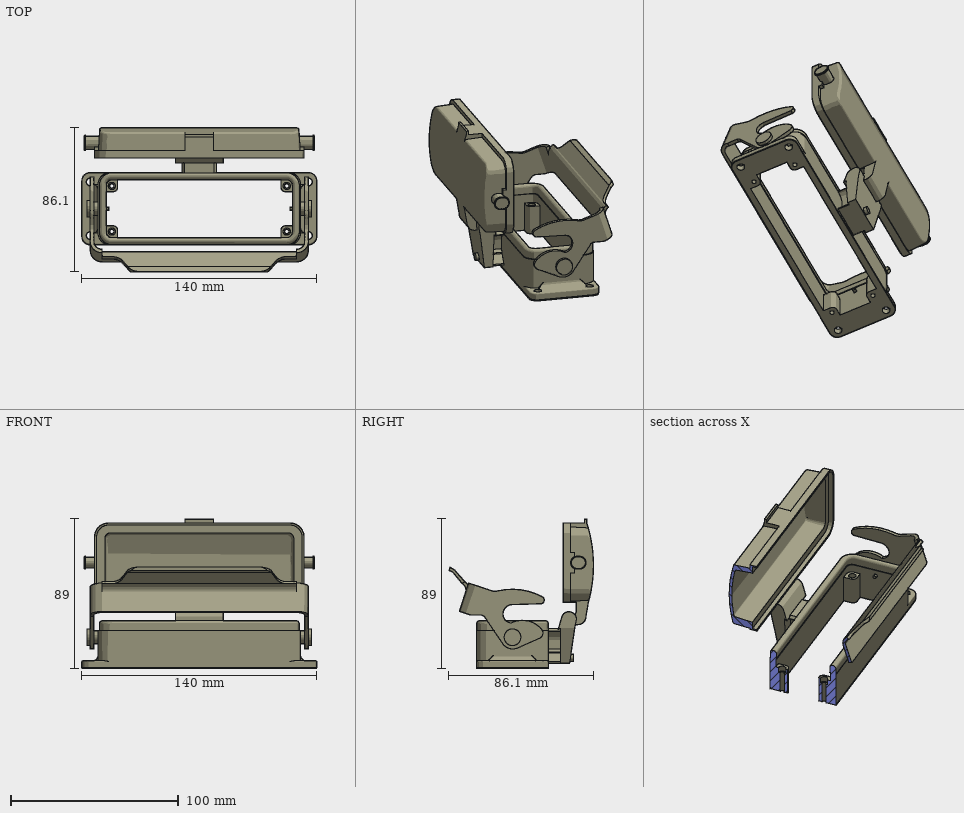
import cadquery as cq
import math


FLANGE_LENGTH = 140.0
HOUSING_WIDTH = 43.1
FLANGE_HEIGHT = 4.8
FLANGE_CORNER = 5.0
FLANGE_EDGE_ROUND = 0.8
FLANGE_SOLE_HEIGHT = 0.7
FLANGE_SOLE_INSET = 0.1
WALL_LENGTH = 120.7
WALL_CORNER = 7.3
RIM_BASE_Z = 22.8
RIM_TOP_Z = 28.7
RIM_LENGTH = 119.1
RIM_WIDTH = 42.8
RIM_CORNER = 7.7
RIM_THICKNESS = 4.2
RIM_UNDERCUT = 0.4
FLANGE_HOLE_DIAMETER = 4.5
FLANGE_HOLE_X = 65.0
FLANGE_HOLE_Y = 16.0
BOSS_HOLE_X = 52.1
BOSS_HOLE_Y = 13.6
BOSS_MARGIN = 3.5
BOSS_CORNER = 2.8
BOSS_TOP_Z = 17.2
BOSS_HOLE_DIAMETER = 2.5
BOSS_BORE_DIAMETER = 4.3
BOSS_BORE_DEPTH = 3.5
GUSSET_SIZE = 3.2
GUSSET_HALF_WIDTH = 11.3

BRACKET_HALF_LENGTH = 14.3
BRACKET_FOOT_HALF_LENGTH = 12.0
BRACKET_BASE_Z = 3.2
BRACKET_FRONT_Y = 28.7
BRACKET_FOOT_BACK_Y = 34.0
CAP_BASE_Z = 24.1
CAP_BASE_BACK_Y = 37.1
CAP_FRONT_Y = 27.2
CAP_FRONT_Z = 23.4
CAP_RADIUS = 4.5
CAP_CENTER_Y = 33.6
CAP_CENTER_Z = 29.5
CAP_LEAN = 17.7
LUG_HALF_LENGTH = 10.4
LUG_TOP_HALF_LENGTH = 8.8
LUG_WAIST_HALF_LENGTH = 5.0
LUG_STEP_HALF_LENGTH = 6.7
LUG_CHAMFER_Z = 22.5
LUG_ARC_TOP_Z = 22.1
LUG_STEP_TOP_Z = 11.8
LUG_STEP_BASE_Z = 9.2
LUG_SLOPE_BASE_Z = 4.2
SCREW_DIAMETER = 4.5
SCREW_Z = 6.5
SCREW_END_Y = 36.4

COVER_LENGTH = 124.9
COVER_HEIGHT = 47.3
COVER_CENTER_Z = 63.1
COVER_FRONT_Y = 30.1
COVER_FRAME_Y = 34.6
COVER_RECESS_Y = 32.9
COVER_CORNER = 8.4
COVER_LIP = 1.3
SHELL_LENGTH = 120.1
SHELL_HEIGHT = 44.2
SHELL_CENTER_Z = 62.3
SHELL_CORNER = 7.0
SHELL_DRAFT = 3.0
SHELL_EDGE_ROUND = 1.4
BACK_MIDDLE_Y = 48.2
BACK_MIDDLE_Z = 65.8
BACK_TOP_Y = 44.2
BACK_BOTTOM_Y = 45.2
BACK_THICKNESS = 2.1
CAVITY_LENGTH = 112.5
CAVITY_HEIGHT = 35.5
CAVITY_CORNER = 3.5
CAVITY_DRAFT = 4.5
CAVITY_FLOOR_ROUND = 1.1
BAND_HALF_WIDTH = 8.5
TAB_TOP_Z = 89.0
TAB_FRONT_Y = 42.8
ARM_FRONT_Y = 38.0
ARM_BEND_Y = 43.8
ARM_BEND_Z = 31.2
ARM_BOTTOM_Z = 26.2
PEG_CENTER_Y = 39.2
PEG_WIDTH = 8.1
PEG_HEIGHT = 6.6
PEG_COLLAR = 0.5
PEG_COLLAR_LENGTH = 0.8
PEG_COLLAR_CHAMFER = 0.4
PEG_END_X = 68.6
PEG_PAD_HALF_HEIGHT = 6.2
PEG_PAD_BACK_Y = 36.8

PIVOT_Z = 18.8
LEVER_HALF_LENGTH = 65.0
LEVER_THICKNESS = 2.2
PIVOT_EYE_RADIUS = 7.0
BAIL_TILT = 18.0
BAIL_HEIGHT = 17.8
BAIL_DEPTH = 7.1
BAIL_BEND_HEIGHT = 12.5
BAIL_FOOT_Y = -24.9
BAIL_FOOT_Z = 31.9
HANDLE_ROOT_X = LEVER_HALF_LENGTH - BAIL_DEPTH
HANDLE_BASE_X = 48.0
HANDLE_BASE_Y = -28.4
HANDLE_BASE_Z = 51.8
HANDLE_SLOPE = 51.5
HANDLE_REACH = 12.3
HANDLE_TIP_X = 40.7
HANDLE_CORNER = 7.7
PIN_HEAD_DIAMETER = 10.0
PIN_HEAD_LENGTH = 2.0
PIN_DIAMETER = 8.0
PIN_TIP_DIAMETER = 2.0
PIN_TIP_X = 53.9

COVER_TOP_Z = COVER_CENTER_Z + COVER_HEIGHT / 2
COVER_BOTTOM_Z = COVER_CENTER_Z - COVER_HEIGHT / 2
COVER_BACK_LIMIT_Y = BACK_MIDDLE_Y + BACK_THICKNESS
RIM_INNER_LENGTH = RIM_LENGTH - 2 * RIM_THICKNESS
RIM_INNER_WIDTH = RIM_WIDTH - 2 * RIM_THICKNESS
RIM_INNER_CORNER = RIM_CORNER - RIM_THICKNESS


def upright_block(length, width, bottom, top, corner):
    """A block centred on the Z axis with rounded vertical edges."""
    block = cq.Workplane("XY").workplane(offset=bottom).rect(length, width).extrude(top - bottom)
    return block.edges("|Z").fillet(corner)


def cover_block(length, height, front, back, corner, draft=0, center_z=COVER_CENTER_Z):
    """A block on the cover's axis with rounded corners, narrowing from front to back."""
    plane = cq.Plane(origin=(0, front, center_z), xDir=(-1, 0, 0), normal=(0, 1, 0))
    outline = cq.Sketch().rect(length, height).vertices().fillet(corner)
    return cq.Workplane(plane).placeSketch(outline).extrude(back - front, taper=draft)


def both_ends(half):
    """The half at the +X end and its mirror image at the -X end."""
    return [half, half.mirror("YZ")]


def make_gusset():
    """Concave fillet between the flange and the end wall, with sloping ends."""
    wall_x = WALL_LENGTH / 2
    foot_half_width = GUSSET_HALF_WIDTH + GUSSET_SIZE
    top = FLANGE_HEIGHT + GUSSET_SIZE
    arc_offset = GUSSET_SIZE * (1 - math.sqrt(0.5))
    fillet = (
        cq.Workplane("XZ", origin=(0, foot_half_width, 0))
        .moveTo(wall_x, FLANGE_HEIGHT)
        .lineTo(wall_x + GUSSET_SIZE, FLANGE_HEIGHT)
        .threePointArc((wall_x + arc_offset, FLANGE_HEIGHT + arc_offset), (wall_x, top))
        .close()
        .extrude(2 * foot_half_width)
    )
    sloped_ends = (
        cq.Workplane("YZ", origin=(wall_x, 0, 0))
        .polyline([
            (-foot_half_width, FLANGE_HEIGHT),
            (foot_half_width, FLANGE_HEIGHT),
            (GUSSET_HALF_WIDTH, top),
            (-GUSSET_HALF_WIDTH, top),
        ])
        .close()
        .extrude(GUSSET_SIZE)
    )
    return fillet.intersect(sloped_ends)


def make_bosses():
    """Four screw bosses standing in the inner corners of the walls."""
    length = BOSS_HOLE_X - BOSS_MARGIN
    width = BOSS_HOLE_Y - BOSS_MARGIN
    outer_x = RIM_LENGTH / 2 - RIM_THICKNESS / 2
    outer_y = HOUSING_WIDTH / 2 - RIM_THICKNESS / 2
    boss = (
        cq.Workplane("XY")
        .moveTo(length, width)
        .rect(outer_x - length, outer_y - width, centered=False)
        .extrude(BOSS_TOP_Z)
        .edges("|Z and <X and <Y")
        .fillet(BOSS_CORNER)
    )
    holes_at = [(x, y) for x in (-BOSS_HOLE_X, BOSS_HOLE_X) for y in (-BOSS_HOLE_Y, BOSS_HOLE_Y)]
    pair = boss.union(boss.mirror("XZ"))
    bosses = pair.union(pair.mirror("YZ"))
    return (
        bosses.faces(">Z")
        .workplane(origin=(0, 0, BOSS_TOP_Z))
        .pushPoints(holes_at)
        .cboreHole(BOSS_HOLE_DIAMETER, BOSS_BORE_DIAMETER, BOSS_BORE_DEPTH)
    )


def bracket_profile():
    """Side outline of the bracket: a tapered leg under a round-topped cap."""
    cap_back_y = CAP_CENTER_Y + CAP_RADIUS
    lean = math.radians(CAP_LEAN)
    cap_nose = (CAP_CENTER_Y - CAP_RADIUS * math.cos(lean), CAP_CENTER_Z + CAP_RADIUS * math.sin(lean))
    return (
        cq.Workplane("YZ", origin=(-BRACKET_HALF_LENGTH, 0, 0))
        .moveTo(BRACKET_FRONT_Y, BRACKET_BASE_Z)
        .lineTo(BRACKET_FRONT_Y, CAP_BASE_Z)
        .lineTo(CAP_FRONT_Y, CAP_FRONT_Z)
        .lineTo(*cap_nose)
        .threePointArc((CAP_CENTER_Y, CAP_CENTER_Z + CAP_RADIUS), (cap_back_y, CAP_CENTER_Z))
        .lineTo(CAP_BASE_BACK_Y, CAP_BASE_Z)
        .lineTo(BRACKET_FOOT_BACK_Y, BRACKET_BASE_Z)
        .close()
        .extrude(2 * BRACKET_HALF_LENGTH)
    )


def make_bracket():
    """Hinge bracket with the lug that carries it and the head of its screw."""
    front_outline = (
        cq.Workplane("XZ", origin=(0, COVER_BACK_LIMIT_Y, 0))
        .polyline([
            (-BRACKET_FOOT_HALF_LENGTH, BRACKET_BASE_Z),
            (BRACKET_FOOT_HALF_LENGTH, BRACKET_BASE_Z),
            (BRACKET_HALF_LENGTH, CAP_BASE_Z),
            (BRACKET_HALF_LENGTH, COVER_BOTTOM_Z),
            (-BRACKET_HALF_LENGTH, COVER_BOTTOM_Z),
            (-BRACKET_HALF_LENGTH, CAP_BASE_Z),
        ])
        .close()
        .extrude(COVER_BACK_LIMIT_Y)
    )
    inner_y = HOUSING_WIDTH / 2 - RIM_THICKNESS / 2
    arc_radius = LUG_HALF_LENGTH - LUG_WAIST_HALF_LENGTH
    arc_offset = arc_radius * (1 - math.sqrt(0.5))
    step_run = LUG_STEP_HALF_LENGTH - LUG_WAIST_HALF_LENGTH
    lug_half = (
        cq.Workplane("XZ", origin=(0, BRACKET_FRONT_Y, 0))
        .moveTo(0, CAP_BASE_Z)
        .lineTo(LUG_TOP_HALF_LENGTH, CAP_BASE_Z)
        .lineTo(LUG_HALF_LENGTH, LUG_CHAMFER_Z)
        .lineTo(LUG_HALF_LENGTH, LUG_ARC_TOP_Z)
        .threePointArc(
            (LUG_WAIST_HALF_LENGTH + arc_offset, LUG_ARC_TOP_Z - arc_offset),
            (LUG_WAIST_HALF_LENGTH, LUG_ARC_TOP_Z - arc_radius),
        )
        .lineTo(LUG_WAIST_HALF_LENGTH, LUG_STEP_TOP_Z)
        .lineTo(LUG_STEP_HALF_LENGTH, LUG_STEP_TOP_Z - step_run)
        .lineTo(LUG_STEP_HALF_LENGTH, LUG_STEP_BASE_Z)
        .lineTo(LUG_HALF_LENGTH, LUG_SLOPE_BASE_Z)
        .lineTo(LUG_HALF_LENGTH, BRACKET_BASE_Z)
        .lineTo(0, BRACKET_BASE_Z)
        .close()
        .extrude(BRACKET_FRONT_Y - inner_y)
    )
    lug = lug_half.union(lug_half.mirror("YZ"))
    screw = (
        cq.Workplane("XZ", origin=(0, SCREW_END_Y, SCREW_Z))
        .circle(SCREW_DIAMETER / 2)
        .extrude(SCREW_END_Y - BRACKET_FRONT_Y)
    )
    return bracket_profile().intersect(front_outline).union(lug).union(screw)


def make_rim():
    """Ring around the housing's opening with a fully rounded top."""
    round_z = RIM_TOP_Z - RIM_THICKNESS / 2
    ring = upright_block(RIM_LENGTH, RIM_WIDTH, RIM_BASE_Z, round_z, RIM_CORNER)
    opening = upright_block(RIM_INNER_LENGTH, RIM_INNER_WIDTH, RIM_BASE_Z, round_z, RIM_INNER_CORNER)
    middle = upright_block(
        RIM_LENGTH - RIM_THICKNESS,
        RIM_WIDTH - RIM_THICKNESS,
        RIM_BASE_Z,
        round_z,
        RIM_CORNER - RIM_THICKNESS / 2,
    )
    path = middle.faces(">Z").wires()
    crown = (
        cq.Workplane("YZ", origin=(0, RIM_WIDTH / 2 - RIM_THICKNESS / 2, round_z))
        .circle(RIM_THICKNESS / 2)
        .sweep(path)
    )
    return ring.cut(opening).union(crown)


def make_housing():
    flange = upright_block(
        FLANGE_LENGTH, HOUSING_WIDTH, FLANGE_SOLE_HEIGHT, FLANGE_HEIGHT, FLANGE_CORNER
    )
    flange = flange.faces(">Z").edges().fillet(FLANGE_EDGE_ROUND)
    sole = upright_block(
        FLANGE_LENGTH - 2 * FLANGE_SOLE_INSET,
        HOUSING_WIDTH - 2 * FLANGE_SOLE_INSET,
        0,
        FLANGE_SOLE_HEIGHT,
        FLANGE_CORNER - FLANGE_SOLE_INSET,
    )
    walls = upright_block(WALL_LENGTH, HOUSING_WIDTH, FLANGE_SOLE_HEIGHT, RIM_BASE_Z, WALL_CORNER)
    undercut = upright_block(
        RIM_INNER_LENGTH + 2 * RIM_UNDERCUT,
        RIM_INNER_WIDTH + 2 * RIM_UNDERCUT,
        0,
        RIM_BASE_Z,
        RIM_INNER_CORNER,
    )
    housing = flange.union(sole).union(walls).cut(undercut).union(make_rim())
    for gusset in both_ends(make_gusset()):
        housing = housing.union(gusset)
    housing = housing.union(make_bosses()).union(make_bracket())
    flange_holes = (
        cq.Workplane("XY")
        .rect(2 * FLANGE_HOLE_X, 2 * FLANGE_HOLE_Y, forConstruction=True)
        .vertices()
        .circle(FLANGE_HOLE_DIAMETER / 2)
        .extrude(FLANGE_HEIGHT)
    )
    return housing.cut(flange_holes)


def back_envelope(inset, half_length):
    """Everything in front of the cover's bowed back face, moved inwards by the inset."""
    return (
        cq.Workplane("YZ", origin=(-half_length, 0, 0))
        .moveTo(COVER_FRONT_Y, COVER_BOTTOM_Z)
        .lineTo(BACK_BOTTOM_Y - inset, COVER_BOTTOM_Z)
        .threePointArc((BACK_MIDDLE_Y - inset, BACK_MIDDLE_Z), (BACK_TOP_Y - inset, COVER_TOP_Z))
        .lineTo(COVER_FRONT_Y, COVER_TOP_Z)
        .close()
        .extrude(2 * half_length)
    )


def make_peg():
    """Oblong locking peg with an end collar, on a pad behind the frame at the +X end."""
    start_x = CAVITY_LENGTH / 2
    collar_width = PEG_WIDTH + 2 * PEG_COLLAR
    collar_height = PEG_HEIGHT + 2 * PEG_COLLAR
    plane = cq.Workplane("YZ", origin=(start_x, PEG_CENTER_Y, COVER_CENTER_Z))
    shank = plane.slot2D(PEG_WIDTH, PEG_HEIGHT).extrude(PEG_END_X - start_x)
    collar = (
        plane.workplane(offset=PEG_END_X - PEG_COLLAR_LENGTH - start_x)
        .slot2D(collar_width, collar_height)
        .extrude(PEG_COLLAR_LENGTH)
        .faces(">X")
        .chamfer(PEG_COLLAR_CHAMFER)
    )
    pad = cq.Workplane("XY").box(
        COVER_LENGTH / 2 - start_x,
        PEG_PAD_BACK_Y - COVER_FRAME_Y,
        2 * PEG_PAD_HALF_HEIGHT,
        centered=(False, False, True),
    )
    return shank.union(collar).union(pad.translate((start_x, COVER_FRAME_Y, COVER_CENTER_Z)))


def make_arm():
    """Hinge arm hanging from the cover, ending against the bracket's cap."""
    corner = ARM_BEND_Z - ARM_BOTTOM_Z
    arc_offset = corner * (1 - math.sqrt(0.5))
    arm = (
        cq.Workplane("YZ", origin=(-BAND_HALF_WIDTH, 0, 0))
        .moveTo(ARM_FRONT_Y, COVER_CENTER_Z - CAVITY_HEIGHT / 2 - BACK_THICKNESS)
        .lineTo(BACK_BOTTOM_Y, COVER_BOTTOM_Z + BACK_THICKNESS)
        .lineTo(BACK_BOTTOM_Y, COVER_BOTTOM_Z)
        .lineTo(ARM_BEND_Y, ARM_BEND_Z)
        .threePointArc(
            (ARM_BEND_Y - arc_offset, ARM_BOTTOM_Z + arc_offset),
            (ARM_BEND_Y - corner, ARM_BOTTOM_Z),
        )
        .lineTo(CAP_CENTER_Y + CAP_RADIUS / 2, ARM_BOTTOM_Z)
        .lineTo(CAP_CENTER_Y + CAP_RADIUS / 2, CAP_CENTER_Z)
        .lineTo(ARM_FRONT_Y, CAP_CENTER_Z + CAP_RADIUS)
        .close()
        .extrude(2 * BAND_HALF_WIDTH)
    )
    return arm.cut(bracket_profile())


def make_cover():
    frame = cover_block(COVER_LENGTH, COVER_HEIGHT, COVER_FRONT_Y, COVER_FRAME_Y, COVER_CORNER)
    shell = cover_block(
        SHELL_LENGTH,
        SHELL_HEIGHT,
        COVER_FRAME_Y,
        COVER_BACK_LIMIT_Y,
        SHELL_CORNER,
        SHELL_DRAFT,
        SHELL_CENTER_Z,
    )
    shell = shell.intersect(back_envelope(0, COVER_LENGTH / 2))
    shell = shell.faces(">Y").edges().fillet(SHELL_EDGE_ROUND)
    band = back_envelope(0, BAND_HALF_WIDTH)
    tab = cq.Workplane("XY").box(
        2 * BAND_HALF_WIDTH,
        BACK_TOP_Y - TAB_FRONT_Y,
        TAB_TOP_Z - COVER_CENTER_Z,
        centered=(True, False, False),
    ).translate((0, TAB_FRONT_Y, COVER_CENTER_Z))
    cover = frame.union(shell).union(band).union(tab)
    for peg in both_ends(make_peg()):
        cover = cover.union(peg)
    recess = cover_block(
        COVER_LENGTH - 2 * COVER_LIP,
        COVER_HEIGHT - 2 * COVER_LIP,
        COVER_FRONT_Y,
        COVER_RECESS_Y,
        COVER_CORNER - COVER_LIP,
    )
    cavity = cover_block(
        CAVITY_LENGTH, CAVITY_HEIGHT, COVER_RECESS_Y, COVER_BACK_LIMIT_Y, CAVITY_CORNER, CAVITY_DRAFT
    ).intersect(back_envelope(BACK_THICKNESS, COVER_LENGTH / 2))
    cavity = cavity.faces(">Y").edges().fillet(CAVITY_FLOOR_ROUND)
    return cover.cut(recess).cut(cavity).union(make_arm())


def make_lever_side():
    """Side plate at the +X end: a pivot eye, a lower toe, a peg slot and an upper finger."""
    tilt = math.radians(BAIL_TILT)
    bail_top_y = BAIL_FOOT_Y + BAIL_HEIGHT * math.sin(tilt)
    bail_top_z = BAIL_FOOT_Z + BAIL_HEIGHT * math.cos(tilt)
    outline = (
        cq.Workplane("YZ", origin=(LEVER_HALF_LENGTH - LEVER_THICKNESS, 0, 0))
        .moveTo(BAIL_FOOT_Y, BAIL_FOOT_Z)
        .lineTo(bail_top_y, bail_top_z)
        .lineTo(-13.3, 46.8)
        .threePointArc((-10.9, 46.2), (-8.4, 46.5))
        .threePointArc((5.0, 47.0), (17.9, 42.8))
        .threePointArc((18.9, 40.5), (17.4, 38.6))
        .lineTo(-1.0, 38.1)
        .threePointArc((-5.6, 32.8), (-1.0, 27.2))
        .threePointArc((10.9, 28.0), (17.5, 23.2))
        .threePointArc((17.9, 20.2), (16.5, 18.3))
        .lineTo(3.0, 12.3)
        .threePointArc((0, PIVOT_Z - PIVOT_EYE_RADIUS), (-5.6, 14.5))
        .lineTo(-16.8, 31.1)
        .lineTo(-18.5, BAIL_FOOT_Z)
        .close()
        .extrude(LEVER_THICKNESS)
    )
    pivot_hole = (
        cq.Workplane("YZ", origin=(0, 0, PIVOT_Z)).circle(PIN_DIAMETER / 2).extrude(LEVER_HALF_LENGTH)
    )
    return outline.cut(pivot_hole)


def make_bail():
    """Tilted crossbar with rounded corners that joins the two side plates."""
    tilt = math.radians(BAIL_TILT)
    plane = cq.Plane(
        origin=(0, BAIL_FOOT_Y, BAIL_FOOT_Z),
        xDir=(1, 0, 0),
        normal=(0, math.sin(tilt), math.cos(tilt)),
    )
    inner_half_length = LEVER_HALF_LENGTH - LEVER_THICKNESS
    inner_radius = BAIL_DEPTH - LEVER_THICKNESS
    outer = (
        cq.Workplane(plane)
        .moveTo(-LEVER_HALF_LENGTH, 0)
        .radiusArc((-LEVER_HALF_LENGTH + BAIL_DEPTH, -BAIL_DEPTH), -BAIL_DEPTH)
        .lineTo(LEVER_HALF_LENGTH - BAIL_DEPTH, -BAIL_DEPTH)
        .radiusArc((LEVER_HALF_LENGTH, 0), -BAIL_DEPTH)
        .close()
        .extrude(BAIL_HEIGHT)
    )
    inner = (
        cq.Workplane(plane)
        .moveTo(-inner_half_length, 0)
        .radiusArc((-inner_half_length + inner_radius, -inner_radius), -inner_radius)
        .lineTo(inner_half_length - inner_radius, -inner_radius)
        .radiusArc((inner_half_length, 0), -inner_radius)
        .close()
        .extrude(BAIL_HEIGHT)
    )
    bend_gap = (
        cq.Workplane(plane)
        .workplane(offset=BAIL_BEND_HEIGHT)
        .rect(2 * (LEVER_HALF_LENGTH - BAIL_DEPTH), 4 * BAIL_DEPTH)
        .extrude(BAIL_HEIGHT)
    )
    return outer.cut(inner).cut(bend_gap)


def make_handle():
    """Thumb flap that flares outwards from the top of the crossbar."""
    tilt = math.radians(BAIL_TILT)
    bend_inner = (-BAIL_DEPTH + LEVER_THICKNESS, BAIL_BEND_HEIGHT)
    bend_outer = (-BAIL_DEPTH, BAIL_BEND_HEIGHT)

    def on_bail(depth, height):
        """Y and Z of a point given in the crossbar's tilted directions."""
        return (
            BAIL_FOOT_Y + depth * math.cos(tilt) + height * math.sin(tilt),
            BAIL_FOOT_Z - depth * math.sin(tilt) + height * math.cos(tilt),
        )

    strip = (
        cq.Workplane("YZ", origin=(-HANDLE_ROOT_X, 0, 0))
        .moveTo(*on_bail(*bend_inner))
        .threePointArc((-26.0, 49.0), (HANDLE_BASE_Y, HANDLE_BASE_Z))
        .lineTo(-34.5, 58.8)
        .lineTo(-37.2, 60.5)
        .lineTo(-37.8, 58.5)
        .lineTo(-35.5, 57.4)
        .lineTo(-30.0, 50.7)
        .threePointArc((-28.1, 48.6), on_bail(*bend_outer))
        .close()
        .extrude(2 * HANDLE_ROOT_X)
    )
    slope = math.radians(HANDLE_SLOPE)
    plane = cq.Plane(
        origin=(0, HANDLE_BASE_Y, HANDLE_BASE_Z),
        xDir=(1, 0, 0),
        normal=(0, -math.sin(slope), -math.cos(slope)),
    )
    half_outline = [
        (HANDLE_TIP_X, HANDLE_REACH),
        (HANDLE_BASE_X, 0),
        (HANDLE_ROOT_X, 0),
        (HANDLE_ROOT_X, -BAIL_HEIGHT),
    ]
    outline = (
        cq.Workplane(plane)
        .polyline(half_outline + [(-x, reach) for x, reach in reversed(half_outline)])
        .close()
        .extrude(HANDLE_REACH, both=True)
    )
    for x, reach in half_outline[:2]:
        for side in (-1, 1):
            corner = plane.toWorldCoords((side * x, reach, 0)).toTuple()
            outline = outline.edges(cq.selectors.NearestToPointSelector(corner)).fillet(HANDLE_CORNER)
    return strip.intersect(outline)


def make_lever():
    lever = make_bail().union(make_handle())
    for side in both_ends(make_lever_side()):
        lever = lever.union(side)
    return lever


def make_pin(side):
    """Pivot pin at one end (side is 1 or -1), headed outside the lever, its tip through the wall."""
    head_start = LEVER_HALF_LENGTH
    wall_x = WALL_LENGTH / 2
    tip = (
        cq.Workplane("YZ", origin=(PIN_TIP_X, 0, PIVOT_Z))
        .circle(PIN_TIP_DIAMETER / 2)
        .extrude(wall_x - PIN_TIP_X)
    )
    shank = (
        cq.Workplane("YZ", origin=(wall_x, 0, PIVOT_Z))
        .circle(PIN_DIAMETER / 2)
        .extrude(head_start - wall_x)
    )
    head = (
        cq.Workplane("YZ", origin=(head_start, 0, PIVOT_Z))
        .circle(PIN_HEAD_DIAMETER / 2)
        .extrude(PIN_HEAD_LENGTH)
    )
    pin = tip.union(shank).union(head)
    return pin if side > 0 else pin.mirror("YZ")


pins = [make_pin(side) for side in (-1, 1)]
housing = make_housing()
for pin in pins:
    housing = housing.cut(pin)
cover = make_cover()
lever = make_lever()

result = cq.Compound.makeCompound([housing.val(), cover.val(), lever.val(), *[pin.val() for pin in pins]])